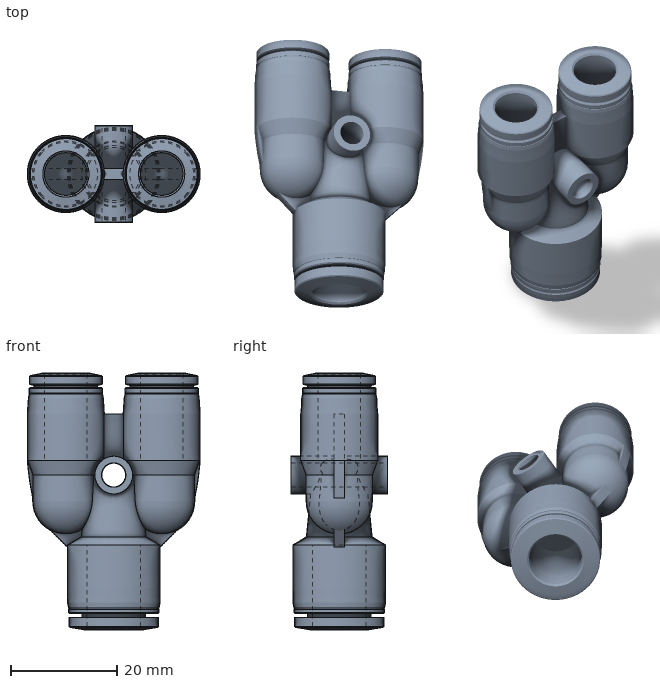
import cadquery as cq
import math

height = 48.3
width = 32.5
rib_thickness = 2.05

port_d = 14.5
port_offset = (width - port_d) / 2
port_r = port_d / 2
lower_r = 6.25
sphere_z = 24.25
lower_top_z = 29.12
port_bottom_z = 31.9
port_top_z = 40.6
port_lip_r = 13.8 / 2
port_collar_r = 6.85
port_shoulder_r = 7.05
port_shoulder_z = 43.55
port_lip_z = 45.55
port_bore_d = 8.0

main_r = 17.5 / 2
main_lip_r = 17.0 / 2
main_collar_r = 16.8 / 2
main_taper_z = 7.95
main_shoulder_z = 5.05
main_shoulder_r = 8.7
main_lip_z = 3.1
main_top_z = 15.95
main_bore_d = 10.0

neck_r = 12.0 / 2
lip_chamfer = 0.2
bore_chamfer = 0.35
groove_width = 0.25
groove_depth = 0.1
port_groove_z = 44.35
main_groove_z = 3.85

port_collar_z = 46.2
port_collar_root_z = 46.0
port_collar_rim_z = 47.6
main_collar_z = 2.35
main_collar_rim_z = 0.7
rim_chamfer = 0.2

stem_bottom_z = 17.5
stem_bottom_r = 6.2
stem_top_r = 5.0

tube_d = 7.1
tube_hole_d = 4.5
tube_length = 18.2
tube_z = 29.12

side_rib_bottom_z = 24.85
side_rib_mid_z = 28.5
side_rib_mid_x = 15.9
gusset_bottom_z = 15.6
gusset_top_z = 20.3


def revolve_profile(profile):
    """Turn a closed (radius, z) profile about the Z axis."""
    return profile.close().revolve(360, (0, 0, 0), (0, 1, 0))


def ring_groove(radius, bottom_z):
    outer = cq.Workplane("XY").workplane(offset=bottom_z).circle(radius + 0.5)
    return outer.circle(radius - groove_depth).extrude(groove_width)


def bore(diameter, end_z, floor_z):
    """Blind bore entered from end_z, with a chamfered mouth."""
    radius = diameter / 2
    mouth_z = end_z + math.copysign(bore_chamfer, floor_z - end_z)
    profile = (
        cq.Workplane("XZ")
        .moveTo(0, end_z)
        .lineTo(radius + bore_chamfer, end_z)
        .lineTo(radius, mouth_z)
        .lineTo(radius, floor_z)
        .lineTo(0, floor_z)
    )
    return revolve_profile(profile)


def upper_port():
    arc_mid = lower_r * math.sqrt(0.5)
    profile = (
        cq.Workplane("XZ")
        .moveTo(0, sphere_z - lower_r)
        .threePointArc((arc_mid, sphere_z - arc_mid), (lower_r, sphere_z))
        .lineTo(lower_r, lower_top_z)
        .lineTo(port_r, port_bottom_z)
        .lineTo(port_r, port_top_z)
        .lineTo(port_shoulder_r, port_shoulder_z)
        .lineTo(port_lip_r, port_groove_z)
        .lineTo(port_lip_r, port_lip_z - lip_chamfer)
        .lineTo(port_lip_r - lip_chamfer, port_lip_z)
        .lineTo(neck_r, port_lip_z)
        .lineTo(neck_r, port_collar_root_z)
        .lineTo(port_collar_r, port_collar_z)
        .lineTo(port_collar_r, port_collar_rim_z)
        .lineTo(port_collar_r - rim_chamfer, port_collar_rim_z + rim_chamfer)
        .lineTo(port_bore_d / 2 + bore_chamfer, height)
        .lineTo(0, height)
    )
    return revolve_profile(profile).cut(ring_groove(port_lip_r, port_groove_z))


def main_port_and_stem():
    profile = (
        cq.Workplane("XZ")
        .moveTo(0, 0)
        .lineTo(main_bore_d / 2 + bore_chamfer, 0)
        .lineTo(main_collar_r - rim_chamfer, main_collar_rim_z - rim_chamfer)
        .lineTo(main_collar_r, main_collar_rim_z)
        .lineTo(main_collar_r, main_collar_z)
        .lineTo(neck_r, main_collar_z)
        .lineTo(neck_r, main_lip_z)
        .lineTo(main_lip_r - lip_chamfer, main_lip_z)
        .lineTo(main_lip_r, main_lip_z + lip_chamfer)
        .lineTo(main_lip_r, main_groove_z + groove_width)
        .lineTo(main_shoulder_r, main_shoulder_z)
        .lineTo(main_r, main_taper_z)
        .lineTo(main_r, main_top_z)
        .lineTo(stem_bottom_r, stem_bottom_z)
        .lineTo(stem_top_r, tube_z)
        .lineTo(0, tube_z)
    )
    return revolve_profile(profile).cut(ring_groove(main_lip_r, main_groove_z))


def rib(outline):
    """Plate of rib thickness, centred on the XZ plane."""
    return outline.close().extrude(rib_thickness / 2, both=True)


def center_web():
    outline = (
        cq.Workplane("XZ")
        .moveTo(-port_offset, tube_z)
        .lineTo(port_offset, tube_z)
        .lineTo(port_offset, port_top_z)
        .lineTo(-port_offset, port_top_z)
    )
    return rib(outline)


def side_rib():
    """Curved rib down the outer flank of the +X port."""
    outline = (
        cq.Workplane("XZ")
        .moveTo(port_offset, port_bottom_z)
        .lineTo(port_offset + port_r, port_bottom_z)
        .threePointArc(
            (side_rib_mid_x, side_rib_mid_z),
            (port_offset + lower_r, side_rib_bottom_z),
        )
        .lineTo(port_offset, side_rib_bottom_z)
    )
    return rib(outline)


def gusset():
    """45 degree rib from the main port up to the +X port."""
    rise = gusset_top_z - gusset_bottom_z
    outline = (
        cq.Workplane("XZ")
        .moveTo(0, gusset_bottom_z)
        .lineTo(main_r, gusset_bottom_z)
        .lineTo(main_r + rise, gusset_top_z)
        .lineTo(0, gusset_top_z)
    )
    return rib(outline)


def cross_cylinder(diameter):
    circle = cq.Workplane("XZ").center(0, tube_z).circle(diameter / 2)
    return circle.extrude(tube_length / 2, both=True)


half_ribs = side_rib().union(gusset())
body = main_port_and_stem().union(center_web()).union(cross_cylinder(tube_d))
for side in (-1, 1):
    body = body.union(upper_port().translate((side * port_offset, 0, 0)))
body = body.union(half_ribs).union(half_ribs.mirror("YZ"))

body = body.cut(bore(main_bore_d, 0, main_top_z))
for side in (-1, 1):
    port_bore = bore(port_bore_d, height, port_bottom_z)
    body = body.cut(port_bore.translate((side * port_offset, 0, 0)))
result = body.cut(cross_cylinder(tube_hole_d))